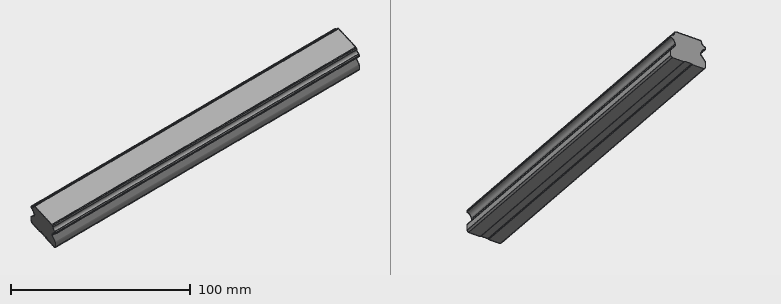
import cadquery as cq

LENGTH = 210.0
WIDTH = 23.0
HEIGHT = 18.0
HALF_WIDTH = WIDTH / 2

TOP_HALF_WIDTH = 8.0
BEVEL_TOP_X = 8.6
BEVEL_TOP_Z = 17.8
CROWN_HALF_WIDTH = 9.0
BEVEL_BOTTOM_Z = 16.8
LIP_TOP_Z = 15.0
CROWN_FILLET = BEVEL_BOTTOM_Z - LIP_TOP_Z

LIP_TIP_DROP = 0.6
LIP_BOTTOM_Z = 13.2
GROOVE_MID_X = 9.9
GROOVE_MID_Z = 12.4
GROOVE_END_X = 9.0
GROOVE_END_Z = 11.1

NECK_STEP_X = 8.8
NECK_STEP_Z = 10.5
NECK_HALF_WIDTH = 8.5
NECK_TOP_Z = 9.9
NECK_BOTTOM_Z = 8.6

FLARE_X = 9.0
FLARE_Z = 8.0
SHOULDER_X = 11.1
SHOULDER_Z = 5.5
FOOT_SIDE_TOP_Z = 4.2
SHOULDER_RADIUS = 2.0
FOOT_CHAMFER = 1.0

RELIEF_HALF_WIDTH = 2.7
RELIEF_DEPTH = 0.5

PLUG_COUNT = 4
PLUG_PITCH = LENGTH * 2 / 7
PLUG_DIAMETER = 11.0
PLUG_DEPTH = 2.0


def rail_half():
    """Extrude the +X half of the symmetric rail section along the length."""
    arc_offset = CROWN_FILLET * (1 - 0.5 ** 0.5)
    return (
        cq.Workplane("XZ", origin=(0, LENGTH / 2, 0))
        .moveTo(0, HEIGHT)
        .lineTo(TOP_HALF_WIDTH, HEIGHT)
        .lineTo(BEVEL_TOP_X, BEVEL_TOP_Z)
        .lineTo(CROWN_HALF_WIDTH, BEVEL_BOTTOM_Z)
        .threePointArc(
            (CROWN_HALF_WIDTH + arc_offset, LIP_TOP_Z + arc_offset),
            (CROWN_HALF_WIDTH + CROWN_FILLET, LIP_TOP_Z),
        )
        .lineTo(HALF_WIDTH, LIP_TOP_Z - LIP_TIP_DROP)
        .lineTo(HALF_WIDTH, LIP_BOTTOM_Z)
        .threePointArc((GROOVE_MID_X, GROOVE_MID_Z), (GROOVE_END_X, GROOVE_END_Z))
        .lineTo(NECK_STEP_X, NECK_STEP_Z)
        .lineTo(NECK_HALF_WIDTH, NECK_TOP_Z)
        .lineTo(NECK_HALF_WIDTH, NECK_BOTTOM_Z)
        .lineTo(FLARE_X, FLARE_Z)
        .lineTo(SHOULDER_X, SHOULDER_Z)
        .radiusArc((HALF_WIDTH, FOOT_SIDE_TOP_Z), SHOULDER_RADIUS)
        .lineTo(HALF_WIDTH, FOOT_CHAMFER)
        .lineTo(HALF_WIDTH - FOOT_CHAMFER, 0)
        .lineTo(RELIEF_HALF_WIDTH, 0)
        .lineTo(RELIEF_HALF_WIDTH - RELIEF_DEPTH, RELIEF_DEPTH)
        .lineTo(0, RELIEF_DEPTH)
        .close()
        .extrude(LENGTH)
    )


def plugs():
    """Discs that fill the mounting holes level with the top face."""
    return (
        cq.Workplane("XY", origin=(0, 0, HEIGHT))
        .rarray(2, PLUG_PITCH, 1, PLUG_COUNT)
        .circle(PLUG_DIAMETER / 2)
        .extrude(-PLUG_DEPTH)
    )


half = rail_half()
rail = half.union(half.mirror("YZ"))

result = rail.cut(plugs()).union(plugs(), clean=False)